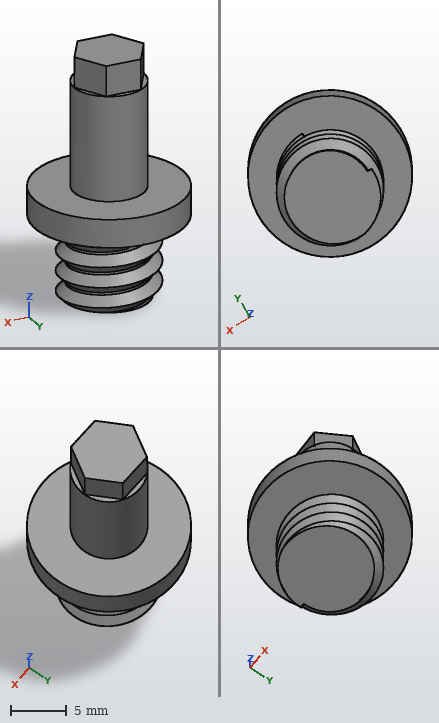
import cadquery as cq
import math

stud_length = 8.0
flange_thickness = 2.8
shank_length = 10.4
hex_length = 3.0

core_diameter = 7.9
thread_diameter = 9.65
flange_diameter = 14.8
shank_diameter = 7.0
hex_across_flats = 6.0
hex_sides = 6

pitch = 2.0
thread_turns = 3.75
thread_start_z = -0.45
thread_start_angle = 180.0
root_overlap = 0.08

core_radius = core_diameter / 2
crest_radius = thread_diameter / 2
hex_across_corners = hex_across_flats / math.cos(math.pi / hex_sides)

flange_z = stud_length
shank_z = flange_z + flange_thickness
hex_z = shank_z + shank_length


def cylinder(diameter, length, base_z):
    """Upright cylinder on the part axis."""
    return cq.Workplane("XY").workplane(offset=base_z).circle(diameter / 2).extrude(length)


def make_hex_drive():
    """Hexagonal end with two corners on the X axis."""
    return cq.Workplane("XY").workplane(offset=hex_z).polygon(hex_sides, hex_across_corners).extrude(hex_length)


def make_thread():
    """Helical V ridge starting on the +X side, trimmed flush with the end face."""
    helix = cq.Wire.makeHelix(pitch, pitch * thread_turns, core_radius).moved(
        cq.Location(cq.Vector(0, 0, thread_start_z))
    )
    root_radius = core_radius - root_overlap
    root_half_width = crest_radius - root_radius
    ridge = (
        cq.Workplane("XZ")
        .moveTo(root_radius, thread_start_z - root_half_width)
        .lineTo(crest_radius, thread_start_z)
        .lineTo(root_radius, thread_start_z + root_half_width)
        .close()
        .sweep(cq.Workplane(helix), isFrenet=True)
    )
    return ridge.intersect(cylinder(flange_diameter, stud_length, 0))


def make_body():
    """Plain stud core, flange, shank and hexagonal drive end."""
    core = cylinder(core_diameter, stud_length, 0)
    flange = cylinder(flange_diameter, flange_thickness, flange_z)
    shank = cylinder(shank_diameter, shank_length, shank_z)
    return core.union(flange).union(shank).union(make_hex_drive())


result = make_body().union(make_thread()).rotate((0, 0, 0), (0, 0, 1), thread_start_angle)